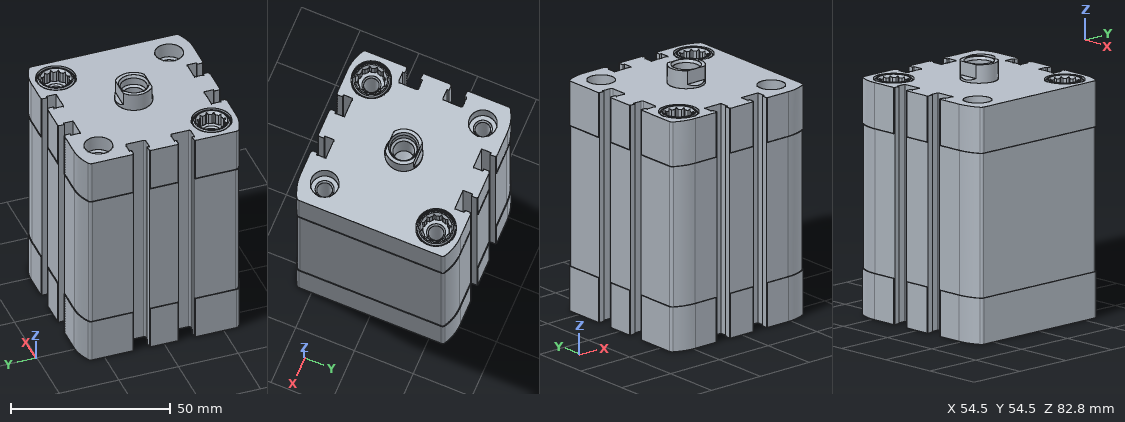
import cadquery as cq
import math

WIDTH = 54.5
TOTAL_HEIGHT = 82.85
ROD_PROTRUSION = 6.0
HOUSING_HEIGHT = TOTAL_HEIGHT - ROD_PROTRUSION
CAP_HEIGHT = 15.0
BARREL_INSET = 0.25

BOW_START = 19.05
BOW_RADIUS = 15.3
EDGE_FILLET = 1.25

SLOT_OFFSET = 7.5
CAP_MOUTH_WIDTH = 5.8
NECK_WIDTH = 5.2
SLOT_WIDTH = 6.7
LIP_DEPTH = 2.15
SLOT_DEPTH = 5.3
SIDE_SLOT_DEPTH = 5.8
SIDE_SLOT_FILLET = 0.6

HOLE_OFFSET = 19.0
BOLT_HOLE_DIAMETER = 4.9
BOLT_HOLE_MOUTH = 6.0
COUNTERBORE_DIAMETER = 9.0
COUNTERBORE_DEPTH = 5.0

SCREW_SEAT_DIAMETER = 12.8
SCREW_HEAD_DIAMETER = 11.9
SCREW_GAP_DEPTH = 1.0
SCREW_HEAD_CHAMFER = 0.5
SOCKET_DIAMETER = 8.4
SOCKET_MOUTH = 10.1
SOCKET_DEPTH = 4.5
SPLINE_DIAMETER = 9.4
SPLINE_SQUARES = 3

ROD_DIAMETER = 12.0
ROD_LENGTH = ROD_PROTRUSION + CAP_HEIGHT
ROD_FLATS = 9.7
FLAT_LENGTH = 4.5
RUNOUT_SLOPE = 35.0
ROD_BORE = 8.5
ROD_BORE_MOUTH = 9.6
ROD_BORE_DEPTH = 3.4
ROD_MOUTH_ANGLE = 60.0
THREAD_HOLE = 6.8
THREAD_MOUTH_ANGLE = 120.0
THREAD_HOLE_DEPTH = 12.4
DRILL_POINT_ANGLE = 118.0


def cylinder(diameter, bottom, top):
    return cq.Workplane("XY").workplane(offset=bottom).circle(diameter / 2).extrude(top - bottom)


def cone(bottom_diameter, top_diameter, bottom, top):
    """Truncated or pointed cone about the Z axis."""
    profile = [(0, bottom), (bottom_diameter / 2, bottom), (top_diameter / 2, top), (0, top)]
    if bottom_diameter == 0:
        profile.pop(0)
    return cq.Workplane("XZ").polyline(profile).close().revolve(360, (0, 0, 0), (0, 1, 0))


def taper_height(radius_change, included_angle):
    """Height over which a cone of this included angle changes its radius."""
    return radius_change / math.tan(math.radians(included_angle / 2))


def countersink(bottom_diameter, top_diameter, top, included_angle=90.0):
    """Cone whose wide end is at height top."""
    height = taper_height((top_diameter - bottom_diameter) / 2, included_angle)
    return cone(bottom_diameter, top_diameter, top - height, top)


def section(inset, bottom, height):
    """Length of the housing with its sides moved inward by inset."""
    half = WIDTH / 2 - inset
    radius = BOW_RADIUS - inset
    centre_y = half - radius
    corner_y = centre_y + math.sqrt(radius**2 - (half - BOW_START) ** 2)
    angle = math.asin((half - BOW_START) / radius) / 2
    mid_x = BOW_START + radius * math.sin(angle)
    mid_y = centre_y + radius * math.cos(angle)
    return (
        cq.Workplane("XY")
        .workplane(offset=bottom)
        .moveTo(-BOW_START, half)
        .lineTo(BOW_START, half)
        .threePointArc((mid_x, mid_y), (half, corner_y))
        .lineTo(half, -corner_y)
        .threePointArc((mid_x, -mid_y), (BOW_START, -half))
        .lineTo(-BOW_START, -half)
        .threePointArc((-mid_x, -mid_y), (-half, -corner_y))
        .lineTo(-half, corner_y)
        .threePointArc((-mid_x, mid_y), (-BOW_START, half))
        .close()
        .extrude(height)
        .edges("|Z and (<X or >X)")
        .fillet(EDGE_FILLET)
    )


def box(x_size, y_start, y_end, bottom, top):
    """Block centred on X = 0."""
    return (
        cq.Workplane("XY")
        .box(x_size, y_end - y_start, top - bottom, centered=(True, False, False))
        .translate((0, y_start, bottom))
    )


def slot_cutter(depth, floor_fillet):
    """T-slot over the full height, opening to +Y and centred on X = 0."""
    face = WIDTH / 2
    channel = box(SLOT_WIDTH, face - depth, face - LIP_DEPTH, 0, HOUSING_HEIGHT)
    if floor_fillet > 0:
        channel = channel.edges("|Z and <Y").fillet(floor_fillet)
    neck = box(NECK_WIDTH, face - LIP_DEPTH, face, 0, HOUSING_HEIGHT)
    mouth = box(CAP_MOUTH_WIDTH, face - BARREL_INSET, face, 0, HOUSING_HEIGHT)
    return channel.union(neck).union(mouth)


def bolt_hole(floor):
    """Through hole with a countersunk mouth at height floor."""
    hole = cylinder(BOLT_HOLE_DIAMETER, 0, floor)
    return hole.union(countersink(BOLT_HOLE_DIAMETER, BOLT_HOLE_MOUTH, floor))


def counterbored_hole():
    floor = HOUSING_HEIGHT - COUNTERBORE_DEPTH
    return bolt_hole(floor).union(cylinder(COUNTERBORE_DIAMETER, floor, HOUSING_HEIGHT))


def screw_cutter():
    """Everything cut away around and inside one collar screw."""
    top = HOUSING_HEIGHT
    head = cylinder(SCREW_HEAD_DIAMETER, top - SCREW_GAP_DEPTH, top)
    head = head.faces(">Z").edges().chamfer(SCREW_HEAD_CHAMFER)
    gap = cylinder(SCREW_SEAT_DIAMETER, top - SCREW_GAP_DEPTH, top).cut(head)

    floor = top - SOCKET_DEPTH
    socket = bolt_hole(floor).union(cylinder(SOCKET_DIAMETER, floor, top))
    socket = socket.union(countersink(SOCKET_DIAMETER, SOCKET_MOUTH, top))
    square_side = SPLINE_DIAMETER / math.sqrt(2)
    for index in range(SPLINE_SQUARES):
        turn = 45 + index * 90 / SPLINE_SQUARES
        square = box(square_side, -square_side / 2, square_side / 2, floor, top)
        socket = socket.union(square.rotate((0, 0, 0), (0, 0, 1), turn))
    return gap, socket


def make_housing():
    body = section(0, 0, CAP_HEIGHT)
    body = body.union(section(BARREL_INSET, CAP_HEIGHT, HOUSING_HEIGHT - 2 * CAP_HEIGHT))
    body = body.union(section(0, HOUSING_HEIGHT - CAP_HEIGHT, CAP_HEIGHT))

    plain_slot = slot_cutter(SLOT_DEPTH, 0)
    side_slot = slot_cutter(SIDE_SLOT_DEPTH, SIDE_SLOT_FILLET)
    for cutter, turn in [(plain_slot, 0), (side_slot, 90), (plain_slot, 180)]:
        for offset in (-SLOT_OFFSET, SLOT_OFFSET):
            body = body.cut(cutter.translate((offset, 0, 0)).rotate((0, 0, 0), (0, 0, 1), turn))

    plain_hole = counterbored_hole()
    screw_gap, screw_socket = screw_cutter()
    for side in (-HOLE_OFFSET, HOLE_OFFSET):
        body = body.cut(plain_hole.translate((side, -side, 0)))
        body = body.cut(screw_gap.translate((side, side, 0)))
        body = body.cut(screw_socket.translate((side, side, 0)))

    return body.cut(cylinder(ROD_DIAMETER, TOTAL_HEIGHT - ROD_LENGTH, HOUSING_HEIGHT))


def make_rod():
    top = TOTAL_HEIGHT
    rod = cylinder(ROD_DIAMETER, top - ROD_LENGTH, top)

    half_flats = ROD_FLATS / 2
    radius = ROD_DIAMETER / 2
    flat_bottom = top - FLAT_LENGTH
    runout = flat_bottom - (radius - half_flats) * math.tan(math.radians(RUNOUT_SLOPE))
    profile = [(half_flats, top), (half_flats, flat_bottom), (radius, runout), (radius, top)]
    flat = cq.Workplane("YZ").polyline(profile).close().extrude(radius, both=True)
    rod = rod.cut(flat).cut(flat.mirror("XZ"))

    ledge = top - ROD_BORE_DEPTH
    hole_bottom = top - THREAD_HOLE_DEPTH
    rod = rod.cut(cylinder(ROD_BORE, ledge, top))
    rod = rod.cut(countersink(ROD_BORE, ROD_BORE_MOUTH, top, ROD_MOUTH_ANGLE))
    rod = rod.cut(countersink(THREAD_HOLE, ROD_BORE, ledge, THREAD_MOUTH_ANGLE))
    rod = rod.cut(cylinder(THREAD_HOLE, hole_bottom, ledge))
    return rod.cut(countersink(0, THREAD_HOLE, hole_bottom, DRILL_POINT_ANGLE))


housing = make_housing()
rod = make_rod()

result = cq.Compound.makeCompound([housing.val(), rod.val()])